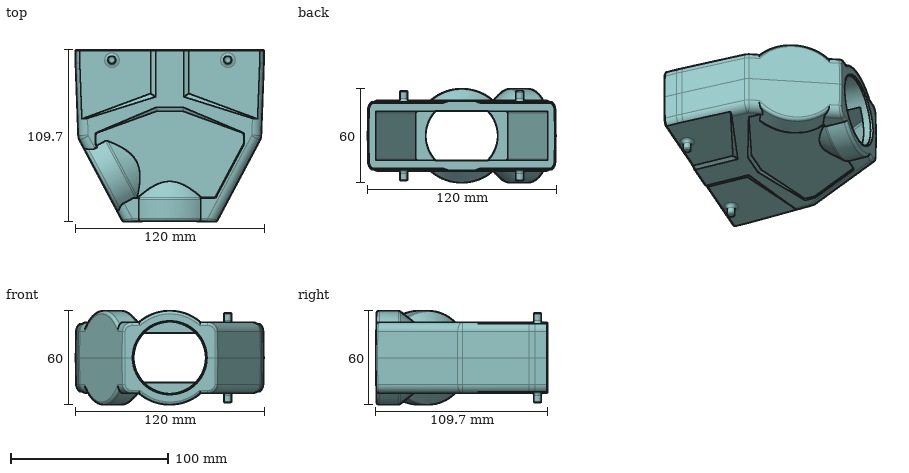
import cadquery as cq
import math

WIDTH = 120.0
LENGTH = 109.7
HALF_HEIGHT = 22.65
DRAFT_ANGLE = 1.0

SIDE_TAPER_START = 10.4
SIDE_BEND_REACH = 1.9
SIDE_CORNER_X = 58.3
SIDE_CORNER_Y = -56.2
FRONT_HALF_WIDTH = 29.9
SIDE_CORNER_RADIUS = 7.0
TOP_EDGE_RADIUS = 6.0
FRONT_EDGE_RADIUS = 2.0
BACK_EDGE_CHAMFER = 0.8
OVERRUN = 5.0

BOSS_RADIUS = 30.0
BOSS_LENGTH = 15.1
BOSS_CONE_SLOPE = 0.78
BOSS_CONE_END_RADIUS = 18.0
BOSS_SHOULDER_RADIUS = 2.0
SIDE_BOSS_Y = -83.3

BORE_DIAMETER = 45.7
BORE_DEPTH = 19.0
BORE_CHAMFER_WIDTH = 0.9
BORE_CHAMFER_LENGTH = 1.4
CAVITY_HALF_HEIGHT = 15.7
SIDE_WALL = 3.5
FRONT_WALL = 6.1
CAVITY_EDGE_RADIUS = 1.2

PANEL_DEPTH = 1.1
PANEL_FLOOR_Z = HALF_HEIGHT - PANEL_DEPTH
PANEL_OUTER_X = 62.0
PANEL_TOP_CORNER = (9.0, -30.1)
PANEL_TOP_SLOPE = 0.314
PANEL_FLOOR_CORNER = (12.15, -28.0)
PANEL_FLOOR_SLOPE = 0.37

POCKET_DEPTH = 1.0
POCKET_HALF_WIDTH = 47.4
POCKET_SIDE_END_Y = -60.1
POCKET_FRONT_Y = -94.5
POCKET_WALL_RUN = 0.45
POCKET_TOP_CORNER = (8.4, -36.7)
POCKET_TOP_SLOPE = 0.423
POCKET_FLOOR_CORNER = (8.2, -39.2)
POCKET_FLOOR_SLOPE = 0.363
POCKET_CORNER_RADIUS = 1.5

PIN_X = 36.9
PIN_Y = -6.6
PIN_TOP_Z = 28.5
PIN_RADIUS = 2.45
PIN_TOP_RADIUS = 0.8
PIN_ROOT_RADIUS = 2.2
PIN_EMBED = 1.0

SLANT_RUN_X = SIDE_CORNER_X - FRONT_HALF_WIDTH
SLANT_RUN_Y = SIDE_CORNER_Y + LENGTH
SLANT_ANGLE = math.degrees(math.atan2(SLANT_RUN_X, SLANT_RUN_Y))
SLANT_SLOPE = SLANT_RUN_X / SLANT_RUN_Y


def slanted_wall_x(y):
    """Half width of the outline at a given Y on the slanted wall."""
    return FRONT_HALF_WIDTH + (y + LENGTH) * SLANT_SLOPE


def symmetric_outline(right_side):
    """Close a right-hand chain of points with its mirror image in X."""
    left_side = [(-x, y) for x, y in reversed(right_side)]
    return right_side + left_side


def fillet_nearest(solid, point, radius):
    """Round the edge whose middle lies nearest to the point."""
    return solid.edges(cq.selectors.NearestToPointSelector(point)).fillet(radius)


def make_shell():
    """Upper half of the outer body, before bosses and recesses."""
    side_x = WIDTH / 2
    taper_angle = math.atan2(side_x - SIDE_CORNER_X, -SIDE_TAPER_START - SIDE_CORNER_Y)
    bend_start_y = -SIDE_TAPER_START + SIDE_BEND_REACH
    bend_end_x = side_x - SIDE_BEND_REACH * math.sin(taper_angle)
    bend_end_y = -SIDE_TAPER_START - SIDE_BEND_REACH * math.cos(taper_angle)
    shell = (
        cq.Workplane("XY")
        .moveTo(side_x, OVERRUN)
        .lineTo(side_x, bend_start_y)
        .tangentArcPoint((bend_end_x, bend_end_y), relative=False)
        .lineTo(SIDE_CORNER_X, SIDE_CORNER_Y)
        .lineTo(FRONT_HALF_WIDTH, -LENGTH)
        .lineTo(-FRONT_HALF_WIDTH, -LENGTH)
        .lineTo(-SIDE_CORNER_X, SIDE_CORNER_Y)
        .lineTo(-bend_end_x, bend_end_y)
        .tangentArcPoint((-side_x, bend_start_y), relative=False)
        .lineTo(-side_x, OVERRUN)
        .close()
        .extrude(HALF_HEIGHT, taper=DRAFT_ANGLE)
    )
    for side in (-1, 1):
        corner = (side * SIDE_CORNER_X, SIDE_CORNER_Y, HALF_HEIGHT / 2)
        shell = fillet_nearest(shell, corner, SIDE_CORNER_RADIUS)
    beyond_back = cq.Workplane("XY").box(
        2 * WIDTH, 4 * OVERRUN, 2 * WIDTH, centered=(True, False, True)
    )
    shell = shell.cut(beyond_back)
    shell = shell.faces(">Z").edges("not |X").fillet(TOP_EDGE_RADIUS)
    return shell.faces("<Y").edges("not <Z").fillet(FRONT_EDGE_RADIUS)


def make_boss():
    """Upper half of a boss along +X, with its outer face through the origin."""
    cone_length = (BOSS_RADIUS - BOSS_CONE_END_RADIUS) / BOSS_CONE_SLOPE
    boss = (
        cq.Workplane("XY")
        .moveTo(-OVERRUN, 0)
        .lineTo(-OVERRUN, BOSS_RADIUS)
        .lineTo(BOSS_LENGTH, BOSS_RADIUS)
        .lineTo(BOSS_LENGTH + cone_length, BOSS_CONE_END_RADIUS)
        .lineTo(BOSS_LENGTH + cone_length, 0)
        .close()
        .revolve(180, (0, 0, 0), (1, 0, 0))
    )
    boss = fillet_nearest(boss, (BOSS_LENGTH, 0, BOSS_RADIUS), BOSS_SHOULDER_RADIUS)
    beyond_wall = (
        cq.Workplane("XY")
        .box(4 * OVERRUN, 4 * BOSS_RADIUS, 4 * BOSS_RADIUS)
        .translate((-2 * OVERRUN, 0, 0))
        .rotate((0, 0, 0), (0, 1, 0), DRAFT_ANGLE)
    )
    boss = boss.cut(beyond_wall)
    return boss.faces("<X").edges("not <Z").fillet(FRONT_EDGE_RADIUS)


def add_bosses(body):
    """Open boss on the front wall and blind boss on the left slanted wall."""
    boss = make_boss()
    origin = (0, 0, 0)
    z_axis = (0, 0, 1)
    front_boss = boss.rotate(origin, z_axis, 90).translate((0, -LENGTH, 0))
    side_place = (-slanted_wall_x(SIDE_BOSS_Y), SIDE_BOSS_Y, 0)
    side_boss = boss.rotate(origin, z_axis, SLANT_ANGLE).translate(side_place)
    return body.union(front_boss).union(side_boss)


def ruled_recess(floor_points, floor_z, top_points):
    """Recess whose walls run straight from the floor outline to the top outline."""
    return (
        cq.Workplane("XY", origin=(0, 0, floor_z))
        .polyline(floor_points)
        .close()
        .workplane(offset=HALF_HEIGHT - floor_z)
        .polyline(top_points)
        .close()
        .loft(ruled=True)
    )


def panel_outline(corner, slope):
    """Right-hand panel outline with a sloped front edge starting at the corner."""
    corner_x, corner_y = corner
    return [
        (corner_x, OVERRUN),
        corner,
        (PANEL_OUTER_X, corner_y - slope * (PANEL_OUTER_X - corner_x)),
        (PANEL_OUTER_X, OVERRUN),
    ]


def cut_panels(body):
    """Recess the panel on each side of the centre rib."""
    panel = ruled_recess(
        panel_outline(PANEL_FLOOR_CORNER, PANEL_FLOOR_SLOPE),
        PANEL_FLOOR_Z,
        panel_outline(PANEL_TOP_CORNER, PANEL_TOP_SLOPE),
    )
    return body.cut(panel).cut(panel.mirror("YZ"))


def pocket_outline(corner, slope, inset):
    """Pocket outline, with its side and front walls moved in by the inset."""
    corner_x, corner_y = corner
    side_x = POCKET_HALF_WIDTH - inset
    front_y = POCKET_FRONT_Y + inset
    right_side = [
        corner,
        (side_x, corner_y - slope * (side_x - corner_x)),
        (side_x, POCKET_SIDE_END_Y),
        (side_x - (POCKET_SIDE_END_Y - front_y) * SLANT_SLOPE, front_y),
    ]
    return symmetric_outline(right_side)


def cut_pocket(body):
    """Sink the shallow pocket and round its side and front corners."""
    floor_outline = pocket_outline(POCKET_FLOOR_CORNER, POCKET_FLOOR_SLOPE, POCKET_WALL_RUN)
    top_outline = pocket_outline(POCKET_TOP_CORNER, POCKET_TOP_SLOPE, 0)
    pocket = ruled_recess(floor_outline, HALF_HEIGHT - POCKET_DEPTH, top_outline)
    side_corner = top_outline[1]
    front_corner = top_outline[3]
    for x, y in (side_corner, front_corner):
        for side in (-1, 1):
            corner = (side * x, y, HALF_HEIGHT - POCKET_DEPTH / 2)
            pocket = fillet_nearest(pocket, corner, POCKET_CORNER_RADIUS)
    return body.cut(pocket)


def make_pin():
    """Round-ended locking pin that flares out onto the panel floor."""
    root_outer_radius = PIN_RADIUS + PIN_ROOT_RADIUS
    root_top_z = PANEL_FLOOR_Z + PIN_ROOT_RADIUS
    round_start_z = PIN_TOP_Z - PIN_TOP_RADIUS
    return (
        cq.Workplane("XZ")
        .moveTo(0, PANEL_FLOOR_Z - PIN_EMBED)
        .lineTo(root_outer_radius, PANEL_FLOOR_Z - PIN_EMBED)
        .lineTo(root_outer_radius, PANEL_FLOOR_Z)
        .radiusArc((PIN_RADIUS, root_top_z), PIN_ROOT_RADIUS)
        .lineTo(PIN_RADIUS, round_start_z)
        .radiusArc((PIN_RADIUS - PIN_TOP_RADIUS, PIN_TOP_Z), -PIN_TOP_RADIUS)
        .lineTo(0, PIN_TOP_Z)
        .close()
        .revolve(360, (0, 0, 0), (0, 1, 0))
    )


def add_pins(body):
    """One locking pin on each panel."""
    pin = make_pin()
    for side in (-1, 1):
        body = body.union(pin.translate((side * PIN_X, PIN_Y, 0)))
    return body


def make_cavity():
    """Inner space that follows the outline and is open at the back."""
    slant_inset = SIDE_WALL / math.cos(math.radians(SLANT_ANGLE))
    front_y = -LENGTH + FRONT_WALL
    corner_x = SIDE_CORNER_X - SIDE_WALL
    corner_y = -LENGTH + (corner_x + slant_inset - FRONT_HALF_WIDTH) / SLANT_SLOPE
    right_side = [
        (corner_x, OVERRUN),
        (corner_x, corner_y),
        (slanted_wall_x(front_y) - slant_inset, front_y),
    ]
    cavity = (
        cq.Workplane("XY")
        .polyline(symmetric_outline(right_side))
        .close()
        .extrude(CAVITY_HALF_HEIGHT, both=True)
    )
    return cavity.faces("|Z").edges("not |X").fillet(CAVITY_EDGE_RADIUS)


def make_bore():
    """Cable bore through the front wall, chamfered at its mouth."""
    radius = BORE_DIAMETER / 2
    mouth_radius = radius + BORE_CHAMFER_WIDTH
    return (
        cq.Workplane("XY")
        .moveTo(0, -LENGTH - OVERRUN)
        .lineTo(mouth_radius, -LENGTH - OVERRUN)
        .lineTo(mouth_radius, -LENGTH)
        .lineTo(radius, -LENGTH + BORE_CHAMFER_LENGTH)
        .lineTo(radius, -LENGTH + BORE_DEPTH)
        .lineTo(0, -LENGTH + BORE_DEPTH)
        .close()
        .revolve(360, (0, 0, 0), (0, 1, 0))
    )


upper_half = make_shell()
upper_half = cut_pocket(upper_half)
upper_half = cut_panels(upper_half)
upper_half = upper_half.faces(">Y").edges("not <Z").chamfer(BACK_EDGE_CHAMFER)
upper_half = add_bosses(upper_half)
upper_half = add_pins(upper_half)

result = upper_half.union(upper_half.mirror("XY")).cut(make_cavity()).cut(make_bore())